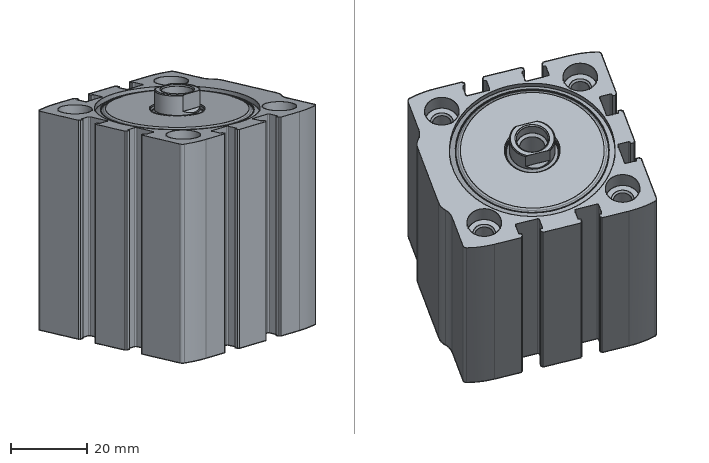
import cadquery as cq
import math

HOUSING_HEIGHT = 59.5
SIDE = 26.5
BACK_PAD_Y = 28.5
PAD_HALF_FLAT = 9.3
PAD_FLANK = 5.7
SIDE_HALF_FLAT = 18.45
SIDE_ARC_RADIUS = 26.45
CORNER_RADIUS = 1.0

SLOT_OFFSET = 8.1
SLOT_OPENING = 5.0
SLOT_WIDTH = 6.5
SLOT_DEPTH = 4.65
SLOT_LIP = 1.3
SLOT_ROUNDING = 0.4

BOLT_OFFSET = 18.95
BOLT_DIAMETER = 4.9
BOLT_CHAMFER = 0.5
BOLT_SEAT_DIAMETER = 9.0
BOLT_SEAT_DEPTH = 4.8

GROOVE_DIAMETER = 43.4
BORE_DIAMETER = 40.0
BORE_LIP = 0.2
LIP_DROP = 0.5
GROOVE_ANGLE = 31.0
CAP_EDGE_WIDTH = 0.6
CAP_FACE_DROP = 0.2
CAP_INNER_BEVEL_DROP = 0.25
CAP_OUTER_BEVEL_DROP = 0.45
ROD_GROOVE_DIAMETER = 14.1
ROD_GROOVE_CHAMFER = 0.25
ROD_GROOVE_FLOOR = 0.25

ROD_TOP = 64.5
ROD_DIAMETER = 12.0
ROD_BOTTOM = 38.7
ROD_CHAMFER = 0.25
ROD_ACROSS_FLATS = 10.0
FLATS_BOTTOM = HOUSING_HEIGHT + 0.6
FLAT_FOOT_ANGLE = 35.0
THREAD_RIM_DIAMETER = 9.0
THREAD_DIAMETER = 8.4
THREAD_RELIEF_DEPTH = 3.3
THREAD_CORE_DIAMETER = 6.65
THREAD_CORE_DEPTH = 12.9
DRILL_TIP_ANGLE = 118.0


def revolved(points):
    """Solid of revolution about Z from a closed outline of (radius, z) points."""
    return cq.Workplane("XZ").polyline(points).close().revolve(360, (0, 0), (0, 1))


def bowed_side_x(y):
    """Distance from the axis to the rounded end of a side, at distance y along it."""
    arc_centre_x = SIDE - SIDE_ARC_RADIUS
    return arc_centre_x + math.sqrt(SIDE_ARC_RADIUS**2 - (y - SIDE_HALF_FLAT)**2)


CORNER_X = bowed_side_x(SIDE)


def housing_profile():
    """Closed outline with bowed sides and a raised pad at the back."""
    bow_y = (SIDE_HALF_FLAT + SIDE) / 2
    bow_x = bowed_side_x(bow_y)
    pad_foot = PAD_HALF_FLAT + PAD_FLANK
    pad_middle = (PAD_HALF_FLAT + PAD_FLANK / 2, (SIDE + BACK_PAD_Y) / 2)
    return (
        cq.Workplane("XY")
        .moveTo(-CORNER_X, -SIDE)
        .lineTo(CORNER_X, -SIDE)
        .threePointArc((bow_x, -bow_y), (SIDE, -SIDE_HALF_FLAT))
        .lineTo(SIDE, SIDE_HALF_FLAT)
        .threePointArc((bow_x, bow_y), (CORNER_X, SIDE))
        .lineTo(pad_foot, SIDE)
        .tangentArcPoint(pad_middle, relative=False)
        .tangentArcPoint((PAD_HALF_FLAT, BACK_PAD_Y), relative=False)
        .lineTo(-PAD_HALF_FLAT, BACK_PAD_Y)
        .tangentArcPoint((-pad_middle[0], pad_middle[1]), relative=False)
        .tangentArcPoint((-pad_foot, SIDE), relative=False)
        .lineTo(-CORNER_X, SIDE)
        .threePointArc((-bow_x, bow_y), (-SIDE, SIDE_HALF_FLAT))
        .lineTo(-SIDE, -SIDE_HALF_FLAT)
        .threePointArc((-bow_x, -bow_y), (-CORNER_X, -SIDE))
        .close()
    )


def housing_block():
    corners = [(x, y, HOUSING_HEIGHT / 2) for x in (-CORNER_X, CORNER_X) for y in (-SIDE, SIDE)]
    block = housing_profile().extrude(HOUSING_HEIGHT)
    for corner in corners:
        block = block.edges(cq.selectors.NearestToPointSelector(corner)).fillet(CORNER_RADIUS)
    return block


def slot_cutter():
    """T-slot through the full height, opening on the front face."""
    half_open = SLOT_OPENING / 2
    lip_y = SLOT_LIP - SIDE
    floor_y = SLOT_DEPTH - SIDE
    r = SLOT_ROUNDING
    wide = (
        cq.Workplane("XY")
        .center(SLOT_OFFSET, (lip_y + floor_y) / 2)
        .rect(SLOT_WIDTH, floor_y - lip_y)
        .extrude(HOUSING_HEIGHT)
        .edges("|Z")
        .fillet(r)
    )
    mouth = (
        cq.Workplane("XY")
        .moveTo(SLOT_OFFSET - half_open - r, -SIDE)
        .radiusArc((SLOT_OFFSET - half_open, r - SIDE), r)
        .lineTo(SLOT_OFFSET - half_open, floor_y - r)
        .lineTo(SLOT_OFFSET + half_open, floor_y - r)
        .lineTo(SLOT_OFFSET + half_open, r - SIDE)
        .radiusArc((SLOT_OFFSET + half_open + r, -SIDE), r)
        .close()
        .extrude(HOUSING_HEIGHT)
    )
    return wide.union(mouth)


def bolt_cutter():
    """Through hole with a chamfered edge below a flat round seat."""
    r = BOLT_DIAMETER / 2
    seat_r = BOLT_SEAT_DIAMETER / 2
    seat_z = HOUSING_HEIGHT - BOLT_SEAT_DEPTH
    return revolved([
        (0, 0),
        (r, 0),
        (r, seat_z - BOLT_CHAMFER),
        (r + BOLT_CHAMFER, seat_z),
        (seat_r, seat_z),
        (seat_r, HOUSING_HEIGHT),
        (0, HOUSING_HEIGHT),
    ])


def groove_cutter():
    """Ring groove with an upright outer wall and a floor rising inwards to the bore lip."""
    top = HOUSING_HEIGHT
    outer_r = GROOVE_DIAMETER / 2
    bore_r = BORE_DIAMETER / 2
    lip_r = bore_r + BORE_LIP
    lip_z = top - LIP_DROP
    depth = (outer_r - lip_r) * math.tan(math.radians(GROOVE_ANGLE))
    return revolved([
        (bore_r, top),
        (bore_r, lip_z),
        (lip_r, lip_z),
        (outer_r, lip_z - depth),
        (outer_r, top),
    ])


def cap_relief_cutter():
    """Leaves the end cap slightly below the top face, with two bevels down to the bore wall."""
    top = HOUSING_HEIGHT
    bore_r = BORE_DIAMETER / 2
    face_z = top - CAP_FACE_DROP
    bevel_z = face_z - CAP_INNER_BEVEL_DROP
    return revolved([
        (0, top),
        (0, face_z),
        (bore_r - 2 * CAP_EDGE_WIDTH, face_z),
        (bore_r - CAP_EDGE_WIDTH, bevel_z),
        (bore_r, bevel_z - CAP_OUTER_BEVEL_DROP),
        (bore_r, top),
    ])


def rod_groove_cutter():
    """Groove around the rod: chamfered wall, narrow floor and a 45 degree cone up to the rod."""
    face_z = HOUSING_HEIGHT - CAP_FACE_DROP
    rod_r = ROD_DIAMETER / 2
    wall_r = ROD_GROOVE_DIAMETER / 2
    foot_r = wall_r - ROD_GROOVE_FLOOR
    cone_z = face_z - ROD_GROOVE_CHAMFER
    floor_z = cone_z - (foot_r - rod_r)
    return revolved([
        (rod_r, face_z),
        (rod_r, cone_z),
        (foot_r, floor_z),
        (wall_r, floor_z),
        (wall_r, cone_z),
        (wall_r + ROD_GROOVE_CHAMFER, face_z),
    ])


def rod_bore_cutter():
    return (
        cq.Workplane("XY", origin=(0, 0, ROD_BOTTOM))
        .circle(ROD_DIAMETER / 2)
        .extrude(HOUSING_HEIGHT - ROD_BOTTOM)
    )


def make_housing():
    housing = housing_block()

    slot = slot_cutter()
    slot_pair = slot.union(slot.mirror("YZ"))
    for angle in (-90, 0, 90):
        housing = housing.cut(slot_pair.rotate((0, 0, 0), (0, 0, 1), angle))

    bolt = bolt_cutter()
    for x in (-BOLT_OFFSET, BOLT_OFFSET):
        for y in (-BOLT_OFFSET, BOLT_OFFSET):
            housing = housing.cut(bolt.translate((x, y, 0)))

    housing = housing.cut(groove_cutter())
    housing = housing.cut(cap_relief_cutter())
    housing = housing.cut(rod_groove_cutter())
    return housing.cut(rod_bore_cutter())


def flat_cutter():
    """Removes the right side of the rod down to a flat with a sloping foot."""
    flat_x = ROD_ACROSS_FLATS / 2
    rod_r = ROD_DIAMETER / 2
    foot_drop = (rod_r - flat_x) * math.tan(math.radians(FLAT_FOOT_ANGLE))
    return (
        cq.Workplane("XZ")
        .polyline([
            (flat_x, ROD_TOP),
            (flat_x, FLATS_BOTTOM),
            (rod_r, FLATS_BOTTOM - foot_drop),
            (rod_r, ROD_TOP),
        ])
        .close()
        .extrude(rod_r, both=True)
    )


def rod_hole_cutter():
    """Blind threaded hole: chamfered rim, thread relief, core hole and drill tip."""
    rim_r = THREAD_RIM_DIAMETER / 2
    thread_r = THREAD_DIAMETER / 2
    core_r = THREAD_CORE_DIAMETER / 2
    relief_z = ROD_TOP - THREAD_RELIEF_DEPTH
    core_z = ROD_TOP - THREAD_CORE_DEPTH
    tip_slope = 1 / math.tan(math.radians(DRILL_TIP_ANGLE / 2))
    return revolved([
        (0, core_z - core_r * tip_slope),
        (core_r, core_z),
        (core_r, relief_z - (thread_r - core_r) * tip_slope),
        (thread_r, relief_z),
        (thread_r, ROD_TOP - (rim_r - thread_r)),
        (rim_r, ROD_TOP),
        (0, ROD_TOP),
    ])


def make_rod():
    rod = (
        cq.Workplane("XY", origin=(0, 0, ROD_BOTTOM))
        .circle(ROD_DIAMETER / 2)
        .extrude(ROD_TOP - ROD_BOTTOM)
        .faces(">Z")
        .edges()
        .chamfer(ROD_CHAMFER)
    )
    flat = flat_cutter()
    rod = rod.cut(flat).cut(flat.mirror("YZ"))
    return rod.cut(rod_hole_cutter())


housing = make_housing()
piston_rod = make_rod()

result = cq.Compound.makeCompound([housing.solids().val(), piston_rod.solids().val()])